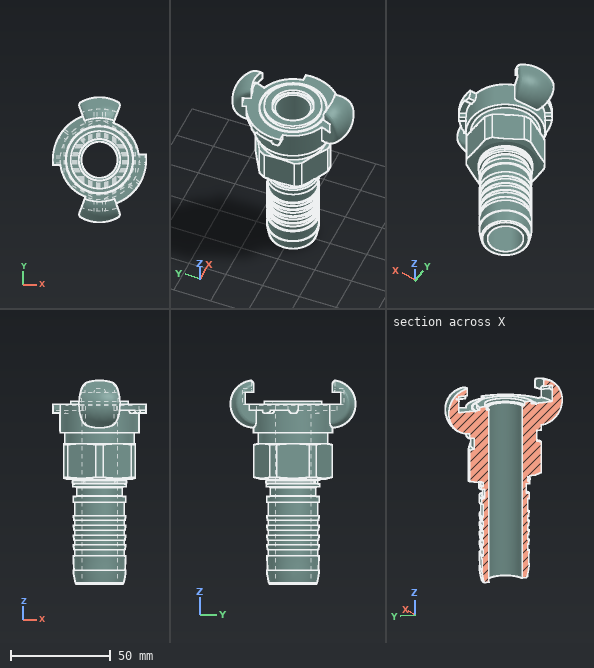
import cadquery as cq
import math


collar_bottom = 41.1
collar_top = 44.1
neck_top = 48.8
ring_groove_bottom = 50.4
ring_groove_top = 52.3
nut_bottom = 52.8
nut_top = 70.6
sleeve_top = 76.0
head_top = 90.4
seal_top = 92.0
claw_top = 102.4

bore_radius = 18.0 / 2
tail_radius = 25.0 / 2
rib_radius = 26.5 / 2
neck_radius = 23.0 / 2
neck_chamfer = 0.3
shoulder_radius = 27.0 / 2
ring_groove_radius = 12.5
rib_count = 4
rib_pitch = 4.9
rib_height = 2.5
first_rib_bottom = 17.3
rib_foot_radius = 12.8
nose_bottom_radius = 11.6
nose_chamfer = 0.7
nose_side_radius = 12.2
lower_bulge_middle_radius = 12.9
lower_bulge_top = 7.1
upper_bulge_top = 14.2
bulge_foot_radius = 12.9

wire_radius = 0.77
wire_centre_radius = 13.0
ring_gap_angle = 72

nut_flat_width = 36.0
nut_corner_radius = 19.8
nut_chamfer_slope = 15
nut_top_face_radius = 17.9
nut_bottom_face_radius = 16.4

sleeve_radius = 35.0 / 2
head_radius = 19.9
seal_radius = 29.0 / 2
seal_hole_radius = 21.0 / 2
seal_step_radius = 20.7 / 2
seal_step_level = 90.3
seal_hole_bottom = 90.0
face_groove_outer = 34.0 / 2
face_groove_inner = 33.4 / 2
face_groove_depth = 0.5

flange_radius = 47.0 / 2
flange_thickness = 3.0
flange_overhang = 2.7
bump_height = 1.5
bump_foot_width = 4.9
bump_tip_width = 2.7
bump_angle = 145
bump_shoulder_depth = 0.6
bump_shoulder_spread = 0.7
end_bump_rise = 0.9

claw_half_angle = 20.9
claw_reach = 63.0 / 2
claw_side_radius = 12.0
claw_crown_radius = 18.7
barrel_half_width = 14.3
claw_edge_fillet = 1.8
claw_root_radius = 17.4
hook_gap_height = 5.9
hook_gap_radius = 25.6
hook_tip_radius = 21.0
recess_height = 2.2
recess_foot_width = 5.8
recess_tip_width = 2.7


def cylinder(radius, bottom, top):
    return cq.Workplane("XY").workplane(offset=bottom).circle(radius).extrude(top - bottom)


def make_hose_tail():
    lower_bulge_middle = (nose_chamfer + lower_bulge_top) / 2
    outline = (
        cq.Workplane("XZ")
        .lineTo(nose_bottom_radius, 0)
        .lineTo(nose_side_radius, nose_chamfer)
        .threePointArc((lower_bulge_middle_radius, lower_bulge_middle), (rib_radius, lower_bulge_top))
        .lineTo(bulge_foot_radius, lower_bulge_top)
        .lineTo(rib_radius, upper_bulge_top)
        .lineTo(tail_radius, upper_bulge_top)
    )
    for index in range(rib_count):
        rib_bottom = first_rib_bottom + index * rib_pitch
        rib_top = rib_bottom + rib_height
        outline = (
            outline.lineTo(tail_radius, rib_bottom)
            .lineTo(rib_foot_radius, rib_bottom)
            .lineTo(rib_radius, rib_top)
            .lineTo(tail_radius, rib_top)
        )
    outline = (
        outline.lineTo(tail_radius, collar_bottom)
        .lineTo(rib_radius, collar_bottom)
        .lineTo(rib_radius, collar_top)
        .lineTo(neck_radius + neck_chamfer, collar_top)
        .lineTo(neck_radius, collar_top + neck_chamfer)
        .lineTo(neck_radius, neck_top - neck_chamfer)
        .lineTo(neck_radius + neck_chamfer, neck_top)
        .lineTo(shoulder_radius, neck_top)
        .lineTo(shoulder_radius, ring_groove_bottom)
        .lineTo(ring_groove_radius, ring_groove_bottom)
        .lineTo(ring_groove_radius, ring_groove_top)
        .lineTo(shoulder_radius, ring_groove_top)
        .lineTo(shoulder_radius, nut_bottom)
        .lineTo(0, nut_bottom)
        .close()
    )
    return outline.revolve(360, (0, 0, 0), (0, 1, 0))


def make_snap_ring():
    wire_level = (ring_groove_bottom + ring_groove_top) / 2
    return (
        cq.Workplane("XZ")
        .center(wire_centre_radius, wire_level)
        .circle(wire_radius)
        .revolve(360 - ring_gap_angle, (-wire_centre_radius, 0, 0), (-wire_centre_radius, 1, 0))
        .rotate((0, 0, 0), (0, 0, 1), 90 + ring_gap_angle / 2)
    )


def make_nut():
    slope = math.tan(math.radians(nut_chamfer_slope))
    top_drop = (nut_corner_radius - nut_top_face_radius) * slope
    bottom_rise = (nut_corner_radius - nut_bottom_face_radius) * slope
    turned_blank = (
        cq.Workplane("XZ")
        .moveTo(0, nut_bottom)
        .lineTo(nut_bottom_face_radius, nut_bottom)
        .lineTo(nut_corner_radius, nut_bottom + bottom_rise)
        .lineTo(nut_corner_radius, nut_top - top_drop)
        .lineTo(nut_top_face_radius, nut_top)
        .lineTo(0, nut_top)
        .close()
        .revolve(360, (0, 0, 0), (0, 1, 0))
    )
    hexagon = (
        cq.Workplane("XY")
        .workplane(offset=nut_bottom)
        .polygon(6, nut_flat_width, circumscribed=True)
        .extrude(nut_top - nut_bottom)
    )
    return turned_blank.intersect(hexagon)


def bump_prism(foot_width, tip_width, height, direction, level, length):
    """Radial bar with a round-shouldered section; a negative height points it downwards."""
    foot = foot_width / 2
    tip = tip_width / 2
    shoulder_x = tip + bump_shoulder_spread * (foot - tip)
    shoulder_z = bump_shoulder_depth * height
    return (
        cq.Workplane("YZ")
        .moveTo(-foot, 0)
        .threePointArc((-shoulder_x, shoulder_z), (-tip, height))
        .lineTo(tip, height)
        .threePointArc((shoulder_x, shoulder_z), (foot, 0))
        .close()
        .extrude(length)
        .rotate((0, 0, 0), (0, 0, 1), direction)
        .translate((0, 0, level))
    )


def make_flange():
    flange_bottom = head_top - flange_thickness
    sector = (
        cq.Workplane("XY")
        .workplane(offset=flange_bottom)
        .rect(-flange_radius, flange_radius + flange_overhang, centered=False)
        .extrude(flange_thickness)
        .translate((0, -flange_overhang, 0))
        .faces("<Y")
        .edges("<Z")
        .chamfer(end_bump_rise)
    )
    end_bump = bump_prism(
        bump_foot_width,
        bump_tip_width,
        -(bump_height + end_bump_rise),
        180,
        flange_bottom + end_bump_rise,
        flange_radius,
    ).translate((0, bump_foot_width / 2 - flange_overhang, 0))
    side_bump = bump_prism(
        bump_foot_width, bump_tip_width, -bump_height, bump_angle, flange_bottom, flange_radius
    )
    return sector.union(end_bump).union(side_bump).intersect(cylinder(flange_radius, 0, head_top))


def make_claw():
    """Crowned barrel trimmed to a wedge, with a hook gap facing the axis."""
    centre_y = claw_reach - claw_side_radius
    tip_offset = hook_tip_radius - centre_y
    centre_z = claw_top - math.sqrt(claw_side_radius**2 - tip_offset**2)
    above_claw = claw_top + claw_side_radius
    crown_drop = claw_crown_radius - math.sqrt(claw_crown_radius**2 - barrel_half_width**2)
    barrel = (
        cq.Workplane("XY")
        .workplane(offset=centre_z)
        .moveTo(-barrel_half_width, centre_y)
        .lineTo(-barrel_half_width, claw_reach - crown_drop)
        .threePointArc((0, claw_reach), (barrel_half_width, claw_reach - crown_drop))
        .lineTo(barrel_half_width, centre_y)
        .close()
        .revolve(360, (0, centre_y, 0), (1, centre_y, 0))
    )
    wedge_length = 2 * claw_reach
    wedge_half_width = wedge_length * math.tan(math.radians(claw_half_angle))
    wedge = (
        cq.Workplane("XY")
        .polyline([(0, 0), (wedge_half_width, wedge_length), (-wedge_half_width, wedge_length)])
        .close()
        .extrude(above_claw)
    )
    claw = barrel.intersect(wedge).cut(cylinder(claw_root_radius, 0, above_claw))
    outer_edges = cq.selectors.BoxSelector(
        (-claw_reach, head_radius, 0), (claw_reach, claw_reach, above_claw)
    )
    claw = claw.edges(outer_edges).fillet(claw_edge_fillet)

    gap_top = head_top + hook_gap_height
    recess = bump_prism(
        recess_foot_width, recess_tip_width, recess_height, 90, gap_top, hook_gap_radius
    )
    return (
        claw.cut(cylinder(hook_tip_radius, head_top, above_claw))
        .cut(cylinder(hook_gap_radius, head_top, gap_top))
        .cut(recess)
    )


def make_head():
    sleeve = cylinder(sleeve_radius, nut_top, sleeve_top)
    body = cylinder(head_radius, sleeve_top, head_top)
    half = make_flange().union(make_claw())
    head = body.union(sleeve).union(half).union(half.rotate((0, 0, 0), (0, 0, 1), 180))
    groove_bottom = head_top - face_groove_depth
    face_groove = cylinder(face_groove_outer, groove_bottom, head_top).cut(
        cylinder(face_groove_inner, groove_bottom, head_top)
    )
    return head.cut(face_groove).union(cylinder(seal_radius, head_top, seal_top))


result = (
    make_hose_tail()
    .union(make_snap_ring())
    .union(make_nut())
    .union(make_head())
    .cut(cylinder(bore_radius, 0, seal_top))
    .cut(cylinder(seal_hole_radius, seal_step_level, seal_top))
    .cut(cylinder(seal_step_radius, seal_hole_bottom, seal_top))
)